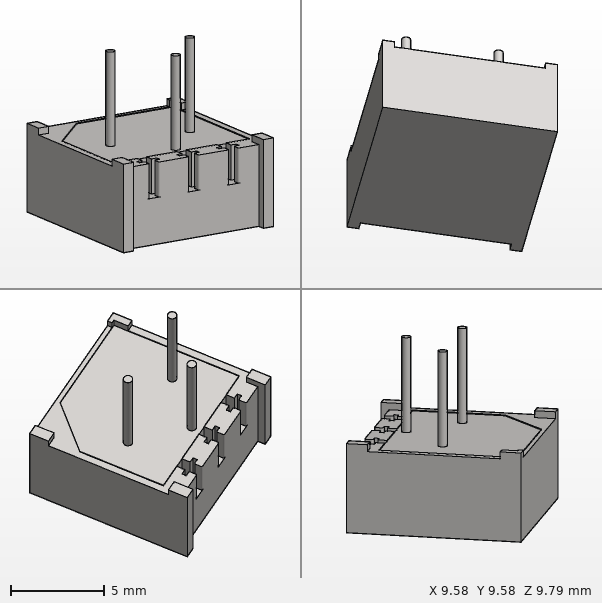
import cadquery as cq

side = 9.58
half_side = side / 2
total_height = 9.79
body_height = 4.57

foot_height = 0.38
foot_x = 1.15
foot_y = 0.66

wall_setback = 0.45
wall_x = half_side - wall_setback

pitch = 2.54
pin_diameter = 0.51
pin_row_x = -0.01

panel_left = -4.51
panel_right = 3.1
panel_half_y = 4.35
panel_bevel = pitch
panel_depth = 0.05

slot_width = 0.6
slot_depth = 1.96
notch_span = 1.26
notch_left = 3.61
notch_right = 3.87
lip_radius = 0.1


def box(x_min, x_max, y_size, z_min, z_max, y_center=0):
    """Block given by its X and Z limits and its size and centre in Y."""
    return (
        cq.Workplane("XY", origin=((x_min + x_max) / 2, y_center, z_min))
        .rect(x_max - x_min, y_size)
        .extrude(z_max - z_min)
    )


def make_housing():
    housing = box(-half_side, half_side, side, 0, body_height)
    foot_centers = [
        (sx * (side - foot_x) / 2, sy * (side - foot_y) / 2)
        for sx in (-1, 1)
        for sy in (-1, 1)
    ]
    feet = (
        cq.Workplane("XY")
        .workplane(offset=body_height)
        .pushPoints(foot_centers)
        .rect(foot_x, foot_y)
        .extrude(foot_height)
    )
    setback = box(wall_x, half_side, side - 2 * foot_y, 0, body_height)
    return housing.union(feet).cut(setback)


def make_panel_recess():
    """Recess that also trims the foot it overlaps."""
    return (
        cq.Workplane("XY")
        .workplane(offset=body_height - panel_depth)
        .moveTo(panel_left, panel_half_y)
        .lineTo(panel_right, panel_half_y)
        .lineTo(panel_right, -panel_half_y)
        .lineTo(panel_left + panel_bevel, -panel_half_y)
        .lineTo(panel_left, -panel_half_y + panel_bevel)
        .close()
        .extrude(panel_depth + foot_height)
    )


def make_slot(y_center):
    """Straight slot crossed by a notch, with rounded lips on both sides of its mouth."""
    floor = body_height - slot_depth
    channel = box(panel_right, half_side, slot_width, floor, body_height, y_center)
    notch = box(notch_left, notch_right, notch_span, floor, body_height, y_center)
    outside = box(wall_x, half_side, notch_span, floor, body_height, y_center)
    lip_corners = cq.selectors.BoxSelector(
        (notch_right - lip_radius, y_center - slot_width / 2 - lip_radius, floor),
        (wall_x + lip_radius, y_center + slot_width / 2 + lip_radius, body_height),
    )
    slot = channel.union(notch).union(outside)
    return slot.edges("|Z").edges(lip_corners).fillet(lip_radius)


def make_pins():
    base = body_height - panel_depth
    return (
        cq.Workplane("XY")
        .workplane(offset=base)
        .pushPoints([(pin_row_x, pitch), (pin_row_x + pitch, 0), (pin_row_x, -pitch)])
        .circle(pin_diameter / 2)
        .extrude(total_height - base)
    )


result = make_housing().cut(make_panel_recess())
for slot_y in (-pitch, 0, pitch):
    result = result.cut(make_slot(slot_y))
result = result.union(make_pins())